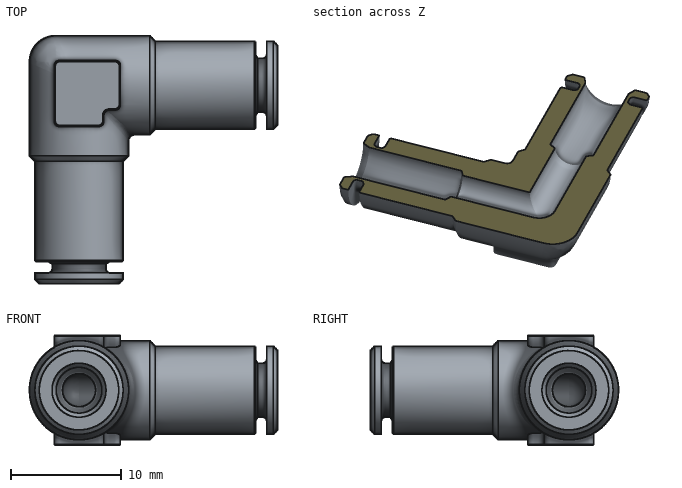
import cadquery as cq


body_radius = 4.5
body_length = 7.0
body_chamfer = 0.6
outer_bend_radius = 2.4
inner_bend_radius = 0.5

sleeve_radius = 4.0
sleeve_end = 16.0
sleeve_chamfer = 0.12
neck_radius = 4.9 / 2
neck_fillet = 0.35
neck_cone_length = 0.2
neck_cone_height = 0.3
collar_start = 17.0
arm_length = 18.0
collar_chamfer = 0.4

mouth_radius = 4.9 / 2
socket_radius = 4.15 / 2
mouth_depth = 0.7
socket_bottom = 8.0
socket_taper = 0.33
passage_radius = 1.5

pad_size = 6.0
pad_min = -2.25
pad_notch = 1.5
pad_corner_radius = 0.5
pad_edge_chamfer = 0.1
pad_height = 5.0

core_length = 4.0
core_width = 1.5
core_clearance = 0.3
core_height = pad_height - core_clearance


def revolve_along_x(sketch):
    """Revolve a closed (axial, radial) profile about the X axis."""
    return sketch.close().revolve(360, (0, 0, 0), (1, 0, 0))


def to_second_arm(arm):
    """Turn a shape lying along +X so that it lies along -Y."""
    return arm.rotate((0, 0, 0), (0, 0, 1), -90)


def mitred_half():
    """Body cylinder along +X, cut off by the diagonal plane between the arms."""
    cylinder = (
        cq.Workplane("YZ")
        .workplane(offset=-body_radius)
        .circle(body_radius)
        .extrude(body_length + body_radius)
        .faces(">X")
        .chamfer(body_chamfer)
    )
    keep = (
        cq.Workplane("XY")
        .moveTo(-body_radius, body_radius)
        .lineTo(body_length, body_radius)
        .lineTo(body_length, -body_radius)
        .lineTo(body_radius, -body_radius)
        .close()
        .extrude(body_radius, both=True)
    )
    return cylinder.intersect(keep)


def marking_pads():
    """Square pads with one notched corner, joined through the elbow."""
    pad_max = pad_min + pad_size
    notch_edge = pad_max - pad_notch
    return (
        cq.Workplane("XY")
        .moveTo(pad_min, -pad_min)
        .lineTo(pad_max, -pad_min)
        .lineTo(pad_max, -notch_edge)
        .lineTo(notch_edge, -notch_edge)
        .lineTo(notch_edge, -pad_max)
        .lineTo(pad_min, -pad_max)
        .close()
        .extrude(pad_height, both=True)
        .edges("|Z")
        .fillet(pad_corner_radius)
        .faces("<Z or >Z")
        .chamfer(pad_edge_chamfer)
    )


def bend_selector(side):
    """Mitre edges on the inner (+1) or outer (-1) side of the bend."""
    near = side * core_length / 2
    far = side * body_radius
    return cq.selectors.BoxSelector(
        (near, -near, -body_radius),
        (far, -far, body_radius),
    )


def elbow_core():
    """Diagonal block inside the pads; it ends the mitre edges short of where they fade out."""
    return (
        cq.Workplane("XY")
        .box(core_length, core_width, 2 * core_height)
        .rotate((0, 0, 0), (0, 0, 1), -45)
    )


def elbow_body():
    """Two mitred cylinders with both bends rounded, and the marking pads."""
    half = mitred_half()
    other_half = to_second_arm(half.mirror("XZ"))
    body = half.union(other_half).union(elbow_core())
    body = body.edges(bend_selector(-1)).fillet(outer_bend_radius)
    body = body.edges(bend_selector(1)).fillet(inner_bend_radius)
    return body.union(marking_pads())


def sleeve_and_collar():
    """Sleeve, grooved neck and release collar of the +X arm."""
    profile = (
        cq.Workplane("XY")
        .lineTo(0, sleeve_radius)
        .lineTo(sleeve_end - sleeve_chamfer, sleeve_radius)
        .lineTo(sleeve_end, sleeve_radius - sleeve_chamfer)
        .lineTo(sleeve_end, neck_radius + neck_cone_height)
        .lineTo(sleeve_end + neck_cone_length, neck_radius)
        .lineTo(collar_start - neck_fillet, neck_radius)
        .radiusArc((collar_start, neck_radius + neck_fillet), -neck_fillet)
        .lineTo(collar_start, sleeve_radius)
        .lineTo(arm_length - collar_chamfer, sleeve_radius)
        .lineTo(arm_length, sleeve_radius - collar_chamfer)
        .lineTo(arm_length, 0)
    )
    return revolve_along_x(profile)


def bore():
    """Flow passage opening through a short cone into the socket and its tapered mouth."""
    profile = (
        cq.Workplane("XY")
        .lineTo(0, passage_radius)
        .lineTo(socket_bottom, passage_radius)
        .lineTo(socket_bottom + socket_taper, socket_radius)
        .lineTo(arm_length - mouth_depth, socket_radius)
        .lineTo(arm_length, mouth_radius)
        .lineTo(arm_length, 0)
    )
    return revolve_along_x(profile)


sleeve = sleeve_and_collar()
arm_bore = bore()
elbow_cavity = cq.Workplane("XY").sphere(passage_radius)

result = (
    elbow_body()
    .union(sleeve)
    .union(to_second_arm(sleeve))
    .cut(arm_bore)
    .cut(to_second_arm(arm_bore))
    .cut(elbow_cavity)
)